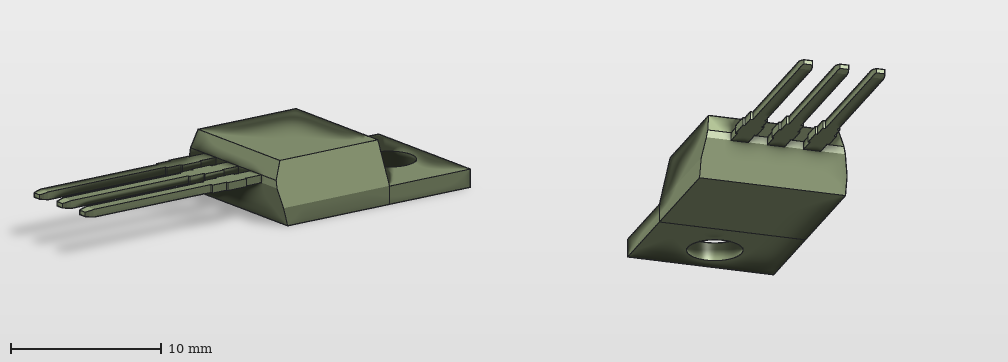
import cadquery as cq
import math


body_width = 10.24
tab_thickness = 1.27
tab_length = 6.7
hole_diameter = 3.75
hole_from_tab_end = 3.0

housing_height = 4.45
housing_length = 9.15
draft_angle = 10.0
front_top_setback = 0.47
front_bottom_setback = 0.7

lead_count = 3
lead_pitch = 2.54
overall_length = 30.25
lead_thickness = 0.55
lead_bottom = 2.65
root_width = 1.2
shoulder_width = 1.47
shank_width = 0.85
root_length = 1.33
shoulder_length = 1.55
neck_length = 1.17
tip_bevel_length = 0.64
tip_bevel_depth = 0.12
tip_corner_length = 0.32
tip_side_lean = 0.03
tip_corner_depth = 0.12

lead_top = lead_bottom + lead_thickness
draft_inset = (housing_height - tab_thickness) * math.tan(math.radians(draft_angle))
housing_front = -housing_length
lead_end = tab_length - overall_length


def make_tab():
    """Flat plate behind the housing, with a round screw hole."""
    plate = cq.Workplane("XY").box(
        body_width, tab_length, tab_thickness, centered=(True, False, False)
    )
    hole = (
        cq.Workplane("XY")
        .center(0, tab_length - hole_from_tab_end)
        .circle(hole_diameter / 2)
        .extrude(tab_thickness)
    )
    return plate.cut(hole)


def make_housing():
    """Lengthwise profile trimmed by a cross-section whose sides lean in above the tab level."""
    side_profile = (
        cq.Workplane("YZ")
        .moveTo(0, 0)
        .lineTo(0, tab_thickness)
        .lineTo(-draft_inset, housing_height)
        .lineTo(housing_front + front_top_setback, housing_height)
        .lineTo(housing_front, lead_top)
        .lineTo(housing_front, lead_bottom)
        .lineTo(housing_front + front_bottom_setback, 0)
        .close()
        .extrude(body_width / 2, both=True)
    )
    half_width = body_width / 2
    cross_section = (
        cq.Workplane("XZ")
        .moveTo(-half_width, 0)
        .lineTo(half_width, 0)
        .lineTo(half_width, tab_thickness)
        .lineTo(half_width - draft_inset, housing_height)
        .lineTo(draft_inset - half_width, housing_height)
        .lineTo(-half_width, tab_thickness)
        .close()
        .extrude(housing_length)
    )
    return side_profile.intersect(cross_section)


def make_lead(x):
    """Stepped flat lead, its tip bevelled above and below and its sides drawn in by two facets."""
    shoulder_start = housing_front - root_length
    neck_start = shoulder_start - shoulder_length
    shank_start = neck_start - neck_length
    bevel_start = lead_end + tip_bevel_length
    right_edge = [
        (root_width / 2, housing_front),
        (root_width / 2, shoulder_start),
        (shoulder_width / 2, shoulder_start),
        (shoulder_width / 2, neck_start),
        (root_width / 2, neck_start),
        (root_width / 2, shank_start),
        (shank_width / 2, shank_start),
        (shank_width / 2, bevel_start),
        (shank_width / 2 - tip_side_lean, lead_end + tip_corner_length),
        (shank_width / 2 - tip_corner_depth, lead_end),
    ]
    left_edge = [(-across, along) for across, along in reversed(right_edge)]
    plan = (
        cq.Workplane("XY")
        .workplane(offset=lead_bottom)
        .polyline(right_edge + left_edge)
        .close()
        .extrude(lead_thickness)
    )
    bevelled_profile = (
        cq.Workplane("YZ")
        .moveTo(housing_front, lead_bottom)
        .lineTo(housing_front, lead_top)
        .lineTo(bevel_start, lead_top)
        .lineTo(lead_end, lead_top - tip_bevel_depth)
        .lineTo(lead_end, lead_bottom + tip_bevel_depth)
        .lineTo(bevel_start, lead_bottom)
        .close()
        .extrude(shoulder_width / 2, both=True)
    )
    return plan.intersect(bevelled_profile).translate((x, 0, 0))


tab = make_tab()
housing = make_housing()
leads = []
for index in range(lead_count):
    lead_x = (index - (lead_count - 1) / 2) * lead_pitch
    leads.append(make_lead(lead_x))

result = cq.Compound.makeCompound([tab.val(), housing.val(), *[lead.val() for lead in leads]])